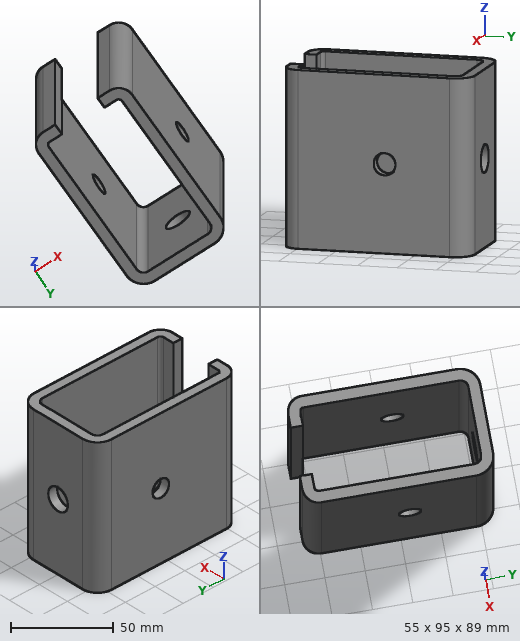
import cadquery as cq

width = 55.0
depth = 95.0
height = 89.0
wall = 6.0

back_radius = 10.0
front_radius = 8.0

slot_width = 25.0
back_hole_diameter = 14.0
side_hole_diameter = 11.0
side_hole_from_back = 43.0


def rounded_prism(size_x, size_y, radius_back, radius_front):
    """Upright box with separate radii on its back (+Y) and front (-Y) edges."""
    box = cq.Workplane("XY").box(size_x, size_y, height)
    box = box.faces(">Y").edges("|Z").fillet(radius_back)
    return box.faces("<Y").edges("|Z").fillet(radius_front)


outside = rounded_prism(width, depth, back_radius, front_radius)
inside = rounded_prism(
    width - 2 * wall, depth - 2 * wall, back_radius - wall, front_radius - wall
)
channel = outside.cut(inside)

slot = cq.Workplane("XY").box(slot_width, depth / 2, height).translate((0, -depth / 2, 0))

back_hole = (
    cq.Workplane("XZ").circle(back_hole_diameter / 2).extrude(-depth)
)

side_hole_y = depth / 2 - side_hole_from_back
side_holes = (
    cq.Workplane("YZ").center(side_hole_y, 0)
    .circle(side_hole_diameter / 2).extrude(width, both=True)
)

result = channel.cut(slot).cut(back_hole).cut(side_holes)